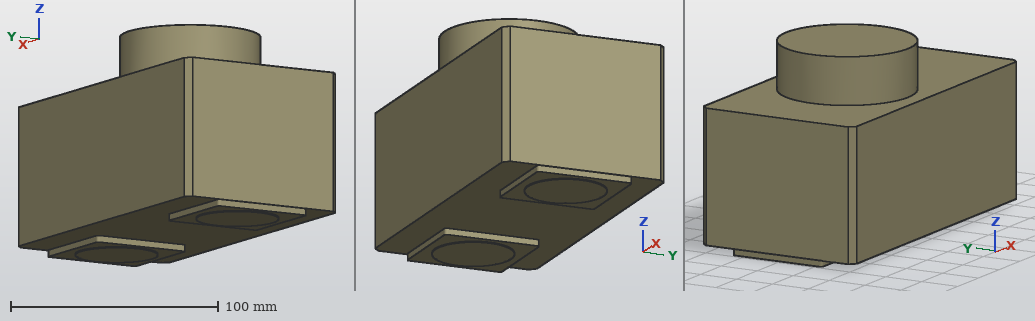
import cadquery as cq

block_length = 161.0
block_width = 85.0
block_height = 68.1
block_corner_chamfer = 3.0

boss_diameter = 68.0
boss_height = 24.2
boss_center_from_left = 68.1

foot_length = 47.0
foot_width = 49.6
foot_height = 3.2
foot_corner_radius = 1.3
foot_end_inset = 0.5
disc_diameter = 40.0
disc_height = 0.5

boss_x = boss_center_from_left - block_length / 2
foot_x = block_length / 2 - foot_end_inset - foot_length / 2


def make_block():
    block = cq.Workplane("XY").rect(block_length, block_width).extrude(block_height)
    return block.edges("|Z").chamfer(block_corner_chamfer)


def make_boss():
    base = cq.Workplane("XY").workplane(offset=block_height)
    return base.center(boss_x, 0).circle(boss_diameter / 2).extrude(boss_height)


def make_foot(center_x):
    """Foot plate with rounded corners and its disc, hanging below the block."""
    plate = cq.Workplane("XY").center(center_x, 0).rect(foot_length, foot_width).extrude(-foot_height)
    plate = plate.edges("|Z").fillet(foot_corner_radius)
    disc_base = cq.Workplane("XY").workplane(offset=-foot_height)
    disc = disc_base.center(center_x, 0).circle(disc_diameter / 2).extrude(-disc_height)
    return plate.union(disc)


result = make_block().union(make_boss())
for side in (-1, 1):
    result = result.union(make_foot(side * foot_x))